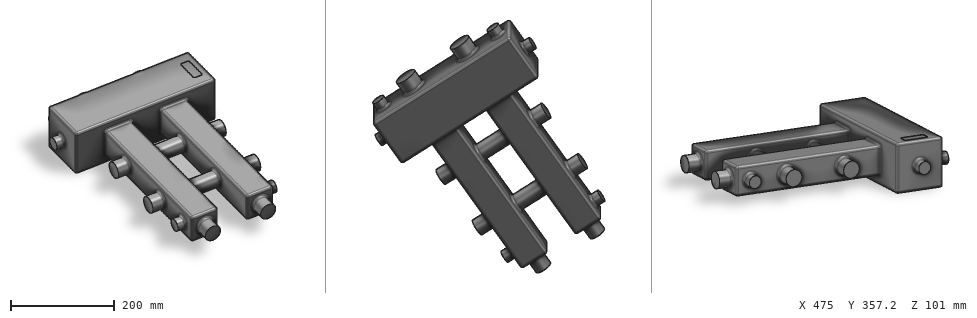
import math

import cadquery as cq

OVERALL_LENGTH = 475.0
LONG_STUB = 29.5
SHORT_STUB = 19.5
CORNER_RADIUS = 5.0
WELD_RADIUS = 5.0
OVERLAP = 9.5

HEADER_SIDE = 101.0
HEADER_WIDTH = 318.2

BAR_SIDE = 60.5
BAR_PITCH = 125.5

INLET_DIAMETER = 42.8
OUTLET_DIAMETER = 34.0
SERVICE_DIAMETER = 25.5

OUTLET_PITCH = BAR_PITCH
FIRST_OUTLET_X = 210.0
OUTLET_XS = (FIRST_OUTLET_X, FIRST_OUTLET_X + OUTLET_PITCH)
BAR_SERVICE_X = 414.5
HEADER_SERVICE_Y = 133.0

PLATE_LENGTH = 50.5
PLATE_WIDTH = 19.5
PLATE_DEPTH = 1.0
PLATE_CORNER_RADIUS = 4.0
PLATE_Y = 135.0

header_start = LONG_STUB
header_end = header_start + HEADER_SIDE
header_center = (header_start + header_end) / 2
bar_end = OVERALL_LENGTH - LONG_STUB
bar_outer_y = BAR_PITCH / 2 + BAR_SIDE / 2
bar_inner_y = BAR_PITCH / 2 - BAR_SIDE / 2


def header():
    """Square header box with every edge rounded."""
    box = cq.Workplane("XY").box(HEADER_SIDE, HEADER_WIDTH, HEADER_SIDE)
    return box.edges().fillet(CORNER_RADIUS).translate((header_center, 0, 0))


def bar(y):
    """Square bar, rounded along its length and around its free end."""
    start = header_end - OVERLAP
    length = bar_end - start
    body = cq.Workplane("XY").box(length, BAR_SIDE, BAR_SIDE)
    body = body.edges("|X or >X").fillet(CORNER_RADIUS)
    return body.translate((start + length / 2, y, 0))


def pipe(face_point, direction, diameter, length):
    """Round pipe leaving a flat face, with a concave weld bead flaring out onto that face."""
    radius = diameter / 2
    arc_center = (radius + WELD_RADIUS, WELD_RADIUS)
    arc_reach = WELD_RADIUS * math.sqrt(0.5)
    arc_middle = (arc_center[0] - arc_reach, arc_center[1] - arc_reach)
    upright = cq.Vector(0, 0, 1)
    section = cq.Plane(origin=face_point, xDir=upright, normal=upright.cross(cq.Vector(*direction)))
    profile = (
        cq.Workplane(section)
        .moveTo(0, -OVERLAP)
        .lineTo(radius + WELD_RADIUS, -OVERLAP)
        .lineTo(radius + WELD_RADIUS, 0)
        .threePointArc(arc_middle, (radius, WELD_RADIUS))
        .lineTo(radius, length)
        .lineTo(0, length)
        .close()
    )
    return profile.revolve(360, (0, 0), (0, 1))


def header_pipes():
    """Inlets and service stubs on the header."""
    pipes = []
    for sign in (-1, 1):
        inlet_face = (header_start, sign * BAR_PITCH / 2, 0)
        side_face = (header_start, sign * HEADER_SERVICE_Y, 0)
        end_face = (header_center, sign * HEADER_WIDTH / 2, 0)
        pipes.append(pipe(inlet_face, (-1, 0, 0), INLET_DIAMETER, LONG_STUB))
        pipes.append(pipe(side_face, (-1, 0, 0), SERVICE_DIAMETER, SHORT_STUB))
        pipes.append(pipe(end_face, (0, sign, 0), SERVICE_DIAMETER, SHORT_STUB))
    return pipes


def bar_pipes():
    """Outlets, service stubs and bridging pipes on the two bars."""
    pipes = []
    for sign in (-1, 1):
        end_face = (bar_end, sign * BAR_PITCH / 2, 0)
        service_face = (BAR_SERVICE_X, sign * bar_outer_y, 0)
        pipes.append(pipe(end_face, (1, 0, 0), OUTLET_DIAMETER, LONG_STUB))
        pipes.append(pipe(service_face, (0, sign, 0), SERVICE_DIAMETER, SHORT_STUB))
        for x in OUTLET_XS:
            pipes.append(pipe((x, sign * bar_outer_y, 0), (0, sign, 0), OUTLET_DIAMETER, LONG_STUB))
            pipes.append(pipe((x, sign * bar_inner_y, 0), (0, -sign, 0), OUTLET_DIAMETER, bar_inner_y))
    return pipes


def name_plate_recess():
    """Body removed from the top of the header to leave a shallow rounded rectangle."""
    floor = cq.Workplane("XY", origin=(header_center, PLATE_Y, HEADER_SIDE / 2 - PLATE_DEPTH))
    recess = floor.rect(PLATE_LENGTH, PLATE_WIDTH).extrude(PLATE_DEPTH)
    return recess.edges("|Z").fillet(PLATE_CORNER_RADIUS)


def weld_bars(body):
    """Concave weld bead around both bars where they meet the header face."""
    corner = cq.Vector(WELD_RADIUS, bar_outer_y + WELD_RADIUS, BAR_SIDE / 2 + WELD_RADIUS)
    face_middle = cq.Vector(header_end, 0, 0)
    low, high = face_middle - corner, face_middle + corner
    joint = cq.selectors.BoxSelector(low.toTuple(), high.toTuple(), boundingbox=True)
    return body.edges(joint).fillet(WELD_RADIUS)


result = header()
for bar_y in (-BAR_PITCH / 2, BAR_PITCH / 2):
    result = result.union(bar(bar_y))
result = weld_bars(result)

for part in header_pipes() + bar_pipes():
    result = result.union(part)
result = result.cut(name_plate_recess())